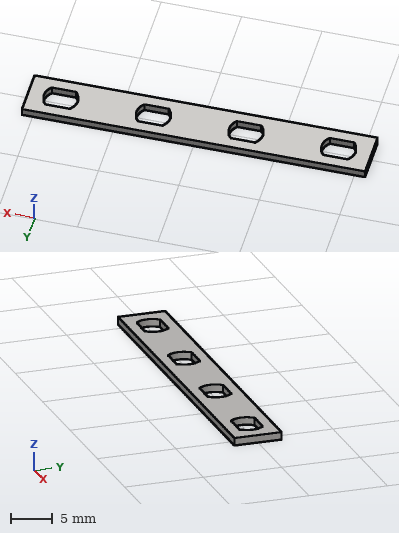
import cadquery as cq

LENGTH = 42.65
WIDTH = 6.0
THICKNESS = 1.0

HOLE_COUNT = 4
HOLE_PITCH = 11.5
HOLE_DIAMETER = 4.22
HOLE_FLAT_WIDTH = 3.0


def flatted_hole_cutter():
    """Round bar through the thickness, trimmed to the flat-to-flat width."""
    round_bar = cq.Workplane("XY").circle(HOLE_DIAMETER / 2).extrude(THICKNESS)
    flat_bar = cq.Workplane("XY").rect(HOLE_DIAMETER, HOLE_FLAT_WIDTH).extrude(THICKNESS)
    return round_bar.intersect(flat_bar)


result = cq.Workplane("XY").rect(LENGTH, WIDTH).extrude(THICKNESS)

for index in range(HOLE_COUNT):
    hole_x = (index - (HOLE_COUNT - 1) / 2) * HOLE_PITCH
    result = result.cut(flatted_hole_cutter().translate((hole_x, 0, 0)))